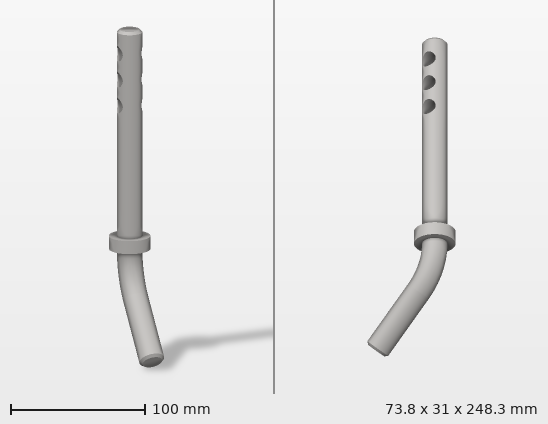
import cadquery as cq
import math

rod_diameter = 19.0
rod_radius = rod_diameter / 2
end_chamfer = 2.0

collar_diameter = 31.0
collar_thickness = 10.0
shank_height = 169.29

hole_diameter = 12.0
hole_count = 3
hole_pitch = 20.0
top_hole_offset = 18.0

bend_angle = 45.0
bend_radius = 50.0
tail_length = 54.29

bend_radians = math.radians(bend_angle)
bend_end_x = bend_radius * (1 - math.cos(bend_radians))
bend_end_z = -bend_radius * math.sin(bend_radians)


def make_shank():
    """Upright round bar with a chamfered top end."""
    shank = cq.Workplane("XY").circle(rod_radius).extrude(shank_height)
    return shank.faces(">Z").chamfer(end_chamfer)


def make_collar():
    """Plain disc around the foot of the shank."""
    return cq.Workplane("XY").circle(collar_diameter / 2).extrude(collar_thickness)


def make_bend():
    """Round elbow that turns from -Z toward +X."""
    profile = cq.Workplane("XY").circle(rod_radius)
    return profile.revolve(bend_angle, (bend_radius, 0, 0), (bend_radius, -1, 0))


def make_tail():
    """Straight bar leaving the bend, with a chamfered free end."""
    bend_end = cq.Plane(
        origin=(bend_end_x, 0, bend_end_z),
        xDir=(0, 1, 0),
        normal=(math.sin(bend_radians), 0, -math.cos(bend_radians)),
    )
    tail = cq.Workplane(bend_end).circle(rod_radius).extrude(tail_length)
    return tail.faces(">X").chamfer(end_chamfer)


def make_cross_holes():
    """Row of through-hole cylinders along Y, spaced down from the shank's top."""
    heights = [shank_height - top_hole_offset - index * hole_pitch for index in range(hole_count)]
    drills = cq.Workplane("XZ").pushPoints([(0, height) for height in heights])
    return drills.circle(hole_diameter / 2).extrude(rod_diameter, both=True)


rod = make_shank().union(make_collar()).union(make_bend()).union(make_tail())
result = rod.cut(make_cross_holes())